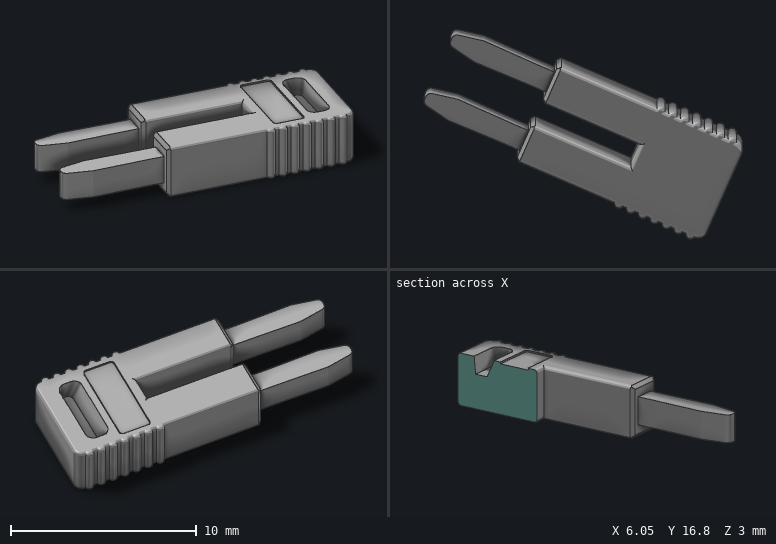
import cadquery as cq

TOTAL_LENGTH = 16.8
TOTAL_WIDTH = 6.05
THICKNESS = 3.0
TOP_Z = THICKNESS / 2

BODY_WIDTH = 5.68
BODY_LENGTH = 11.0
HEAD_LENGTH = 5.19
HEAD_CORNER_RADIUS = 0.5
LEG_PITCH = 3.5
LEG_WIDTH = BODY_WIDTH - LEG_PITCH
LEG_CENTERS = (-LEG_PITCH / 2, LEG_PITCH / 2)
EDGE_SIZE = 0.2

RIB_COUNT = 7
RIB_ROW_LENGTH = 4.2
RIB_PITCH = RIB_ROW_LENGTH / (RIB_COUNT - 1)
RIB_RADIUS = 0.25
FIRST_RIB_Y = -0.75
RIB_CENTER_X = TOTAL_WIDTH / 2 - RIB_RADIUS

POCKET_DEPTH = 1.0
POCKET_LENGTH = 4.1
POCKET_WIDTH = 1.3
POCKET_CORNER_RADIUS = 0.45
POCKET_BACK_Y = -1.08
POCKET_FLOOR_LENGTH = 3.91
POCKET_FLOOR_WIDTH = 0.72
POCKET_FLOOR_CORNER_RADIUS = 0.35
POCKET_FLOOR_BACK_Y = -1.18

LABEL_LENGTH = 4.85
LABEL_WIDTH = 1.8
LABEL_CENTER_Y = -3.7
LABEL_CORNER_RADIUS = 0.2
LABEL_DEPTH = 0.1

BLADE_THICKNESS = 1.6
BLADE_ROOT_WIDTH = 1.2
BLADE_WIDTH = 1.28
BLADE_TIP_WIDTH = 0.65
BLADE_TIP_RADIUS = 0.3
BLADE_FLARE_START_Y = -12.0
BLADE_TAPER_START_Y = -15.15


def make_leg_gap():
    """Open slot that separates the two legs."""
    gap_length = BODY_LENGTH - HEAD_LENGTH
    gap_center_y = -HEAD_LENGTH - gap_length / 2
    gap = cq.Workplane("XY").box(LEG_PITCH - LEG_WIDTH, gap_length, THICKNESS)
    return gap.translate((0, gap_center_y, 0))


def make_grip_ribs():
    """Row of upright round ribs along each side of the head."""
    rib_spots = [
        (side * RIB_CENTER_X, FIRST_RIB_Y - i * RIB_PITCH)
        for side in (-1, 1)
        for i in range(RIB_COUNT)
    ]
    return cq.Workplane("XY").pushPoints(rib_spots).circle(RIB_RADIUS).extrude(THICKNESS / 2, both=True)


def make_body():
    """Two-legged body with ribbed sides, chamfered leg ends and rounded outline edges."""
    body = (
        cq.Workplane("XY")
        .box(BODY_WIDTH, BODY_LENGTH, THICKNESS)
        .translate((0, -BODY_LENGTH / 2, 0))
        .edges("|Z and >Y")
        .fillet(HEAD_CORNER_RADIUS)
        .cut(make_leg_gap())
        .union(make_grip_ribs())
    )
    body = body.faces("<Y").edges().chamfer(EDGE_SIZE)
    for outer_face in (">Z", "<Z"):
        body = body.faces(outer_face).edges("not <Y").fillet(EDGE_SIZE)
    return body


def rounded_rectangle(length, width, radius, center_y, z):
    """Flat rounded rectangle, centered on X = 0, at height z."""
    outline = cq.Sketch().rect(length, width).vertices().fillet(radius)
    return outline.moved(cq.Location(cq.Vector(0, center_y, z)))


def make_pocket():
    """Pocket volume, tapering from its mouth on the top face to a smaller floor."""
    mouth = rounded_rectangle(
        POCKET_LENGTH,
        POCKET_WIDTH,
        POCKET_CORNER_RADIUS,
        POCKET_BACK_Y - POCKET_WIDTH / 2,
        TOP_Z,
    )
    floor = rounded_rectangle(
        POCKET_FLOOR_LENGTH,
        POCKET_FLOOR_WIDTH,
        POCKET_FLOOR_CORNER_RADIUS,
        POCKET_FLOOR_BACK_Y - POCKET_FLOOR_WIDTH / 2,
        TOP_Z - POCKET_DEPTH,
    )
    return cq.Workplane("XY").placeSketch(mouth, floor).loft()


def make_label_recess():
    """Shallow rounded panel sunk into the top face."""
    panel = rounded_rectangle(LABEL_LENGTH, LABEL_WIDTH, LABEL_CORNER_RADIUS, LABEL_CENTER_Y, TOP_Z)
    return cq.Workplane("XY").placeSketch(panel).extrude(-LABEL_DEPTH)


def make_blade(center_x):
    """Flat contact blade that flares slightly, then tapers to a rounded tip."""
    half_profile = [
        (BLADE_ROOT_WIDTH / 2, -BODY_LENGTH),
        (BLADE_ROOT_WIDTH / 2, BLADE_FLARE_START_Y),
        (BLADE_WIDTH / 2, BLADE_TAPER_START_Y),
        (BLADE_TIP_WIDTH / 2, -TOTAL_LENGTH),
    ]
    mirrored = [(-x, y) for x, y in reversed(half_profile)]
    return (
        cq.Workplane("XY")
        .polyline(half_profile + mirrored)
        .close()
        .extrude(BLADE_THICKNESS / 2, both=True)
        .edges("|Z and <Y")
        .fillet(BLADE_TIP_RADIUS)
        .translate((center_x, 0, 0))
    )


result = make_body().cut(make_pocket()).cut(make_label_recess())
for leg_x in LEG_CENTERS:
    result = result.union(make_blade(leg_x))